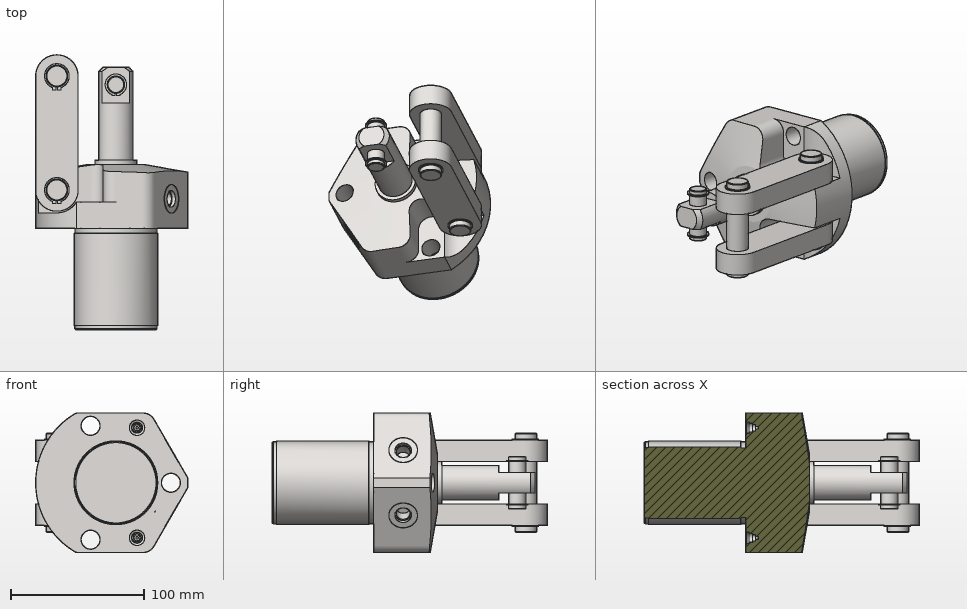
import cadquery as cq
import math

overall_length = 206.4

barrel_diameter = 63.0
barrel_length = 76.2
barrel_chamfer = 0.5
neck_diameter = 61.7
neck_length = 3.5
end_step_diameter = 62.0
end_step_length = 3.3
end_chamfer = 0.8

body_radius = 60.3
body_half_height = 52.5
body_height = 47.9
nose_x = 54.0
nose_half_width = 3.5
nose_slope = math.radians(60)
corner_radius = 10.0
crown_angle = math.radians(10)
crown_flat_radius = 21.7

lug_half_width = 15.9
cutout_floor = 19.6
cutout_radius = 9.5
pocket_clearance = 1.2

mount_hole_diameter = 14.0
nose_hole_x = 41.3
side_hole_x = -19.0
side_hole_z = 42.7
valve_x = 15.9
valve_z = 41.3
valve_mouth_diameter = 11.5
valve_bore_diameter = 8.3
valve_cone_depth = 0.8
valve_bore_depth = 2.5
valve_seat_diameter = 6.5
valve_seat_depth = 5.2
valve_socket_diameter = 4.5
valve_socket_depth = 7.2
valve_tip_diameter = 1.9
valve_tip_depth = 9.3
port_x = 41.9
port_y = 22.0
port_spot_diameter = 21.5
port_spot_depth = 0.5
port_bore_diameter = 12.4
port_bore_depth = 3.3
port_thread_diameter = 10.3
port_thread_depth = 12.4

rod_diameter = 26.0
rod_end_y = 121.0
rod_chamfer = 3.3
rod_flat_start_y = 94.0
rod_flat_half_thickness = 7.8
collar_diameter = 31.5
collar_height = 3.3

link_width = 32.0
link_thickness = 16.0
link_pin_spacing = 85.5
link_pin_diameter = 16.3
link_pin_half_length = 37.1
pin_chamfer = 0.6
rod_pin_y = 107.7
rod_pin_diameter = 13.0
rod_pin_half_length = 19.8

ring_thickness = 0.8
link_ring_diameter = 18.5
link_ear_reach = 10.3
rod_ring_diameter = 16.0
rod_ear_reach = 8.3
rod_ring_z = 15.9
ear_width = 6.2
ear_gap = 1.2

link_outer_z = lug_half_width + link_thickness
link_x = link_width / 2 - body_radius
upper_pin_y = overall_length - barrel_length - link_width / 2
lower_pin_y = upper_pin_y - link_pin_spacing


def rod_along_y(diameter, start, end, x=0.0, z=0.0):
    """Round bar parallel to Y between two Y positions."""
    base = cq.Workplane("XZ", origin=(x, start, z))
    return base.circle(diameter / 2).extrude(start - end)


def mirrored_in_z(shape):
    """The shape together with its mirror image below the XY plane."""
    return shape.union(shape.mirror("XY"))


def barrel():
    step_start = end_step_length - barrel_length
    neck = rod_along_y(neck_diameter, -neck_length, 0)
    main = rod_along_y(barrel_diameter, step_start, -neck_length)
    main = main.faces(">Y").chamfer(barrel_chamfer)
    step = rod_along_y(end_step_diameter, -barrel_length, step_start)
    step = step.faces("<Y").chamfer(end_chamfer)
    return neck.union(main).union(step)


def flange_blank():
    """Flange prism: round on the -X side, pointed nose on the +X side."""
    arc_end_x = -math.sqrt(body_radius**2 - body_half_height**2)
    corner_x = nose_x - (body_half_height - nose_half_width) / math.tan(nose_slope)
    outline = (
        cq.Workplane("XZ")
        .moveTo(arc_end_x, -body_half_height)
        .threePointArc((-body_radius, 0), (arc_end_x, body_half_height))
        .lineTo(corner_x, body_half_height)
        .lineTo(nose_x, nose_half_width)
        .lineTo(nose_x, -nose_half_width)
        .lineTo(corner_x, -body_half_height)
        .close()
    )
    blank = outline.extrude(-body_height)
    for corner_z in (-body_half_height, body_half_height):
        corner = cq.selectors.NearestToPointSelector((corner_x, body_height / 2, corner_z))
        blank = blank.edges("|Y").edges(corner).fillet(corner_radius)
    return blank


def crown_envelope():
    """Turned shape whose conical top slopes the front face of the flange."""
    outer_radius = math.hypot(body_radius, body_half_height)
    drop = (outer_radius - crown_flat_radius) * math.tan(crown_angle)
    return (
        cq.Workplane("XY")
        .lineTo(outer_radius, 0)
        .lineTo(outer_radius, body_height - drop)
        .lineTo(crown_flat_radius, body_height)
        .lineTo(0, body_height)
        .close()
        .revolve(360, (0, 0), (0, 1))
    )


def lug_cutout():
    """Space above the lug; its wall is an S-curve of two equal arcs."""
    wall_x = -cutout_radius
    lug_end_x = -2 * cutout_radius
    outside = 2 * body_radius
    diagonal = cutout_radius * math.sqrt(0.5)
    lower_center = (lug_end_x, lug_half_width + cutout_radius)
    upper_center = (0, body_half_height - cutout_radius)
    return (
        cq.Workplane("XZ", origin=(0, cutout_floor, 0))
        .moveTo(-outside, lug_half_width)
        .lineTo(lug_end_x, lug_half_width)
        .threePointArc(
            (lower_center[0] + diagonal, lower_center[1] - diagonal),
            (wall_x, lower_center[1]),
        )
        .lineTo(wall_x, upper_center[1])
        .threePointArc(
            (upper_center[0] - diagonal, upper_center[1] + diagonal),
            (0, body_half_height),
        )
        .lineTo(0, outside)
        .lineTo(-outside, outside)
        .close()
        .extrude(-body_height)
    )


def link_pocket():
    """Clearance around the lower link end, sunk below the cutout floor."""
    radius = link_width / 2 + pocket_clearance
    depth = body_half_height
    plane = cq.Workplane("XY", origin=(link_x, lower_pin_y, lug_half_width))
    swing = plane.circle(radius).extrude(depth)
    outer = plane.center(-radius, 0).rect(2 * radius, 2 * radius).extrude(depth)
    return swing.union(outer)


def valve_recess():
    """Countersunk stepped bore for a needle valve in the rear face."""
    recess = (
        cq.Workplane("XZ", origin=(valve_x, 0, valve_z))
        .circle(valve_mouth_diameter / 2)
        .workplane(offset=-valve_cone_depth)
        .circle(valve_bore_diameter / 2)
        .loft()
    )
    bore_steps = (
        (valve_bore_diameter, valve_bore_depth),
        (valve_seat_diameter, valve_seat_depth),
        (valve_socket_diameter, valve_socket_depth),
        (valve_tip_diameter, valve_tip_depth),
    )
    for diameter, depth in bore_steps:
        recess = recess.union(rod_along_y(diameter, 0, depth, valve_x, valve_z))
    return recess


def oil_port():
    """Spot-faced, stepped port square to the slanted side of the nose."""
    port_z = nose_half_width + (nose_x - port_x) * math.tan(nose_slope)
    inward = (-math.sin(nose_slope), 0, -math.cos(nose_slope))
    face = cq.Plane(origin=(port_x, port_y, port_z), xDir=(0, 1, 0), normal=inward)
    port_steps = (
        (port_bore_diameter, port_bore_depth),
        (port_thread_diameter, port_thread_depth),
    )
    port = cq.Workplane(face).circle(port_spot_diameter / 2).extrude(port_spot_depth)
    for diameter, depth in port_steps:
        port = port.union(cq.Workplane(face).circle(diameter / 2).extrude(depth))
    return port


def flange_body():
    body = flange_blank().intersect(crown_envelope())
    for recess in (lug_cutout(), link_pocket(), valve_recess(), oil_port()):
        body = body.cut(mirrored_in_z(recess))
    mount_holes = (
        (nose_hole_x, 0),
        (side_hole_x, side_hole_z),
        (side_hole_x, -side_hole_z),
    )
    for x, z in mount_holes:
        body = body.cut(rod_along_y(mount_hole_diameter, 0, body_height, x, z))
    return body


def piston_rod():
    collar = rod_along_y(collar_diameter, 0, body_height + collar_height)
    rod = rod_along_y(rod_diameter, 0, rod_end_y).faces(">Y").chamfer(rod_chamfer)
    flat_length = rod_end_y - rod_flat_start_y
    flat_middle_y = (rod_end_y + rod_flat_start_y) / 2
    flat_cut = (
        cq.Workplane("XY", origin=(0, flat_middle_y, rod_flat_half_thickness))
        .rect(rod_diameter, flat_length)
        .extrude(rod_diameter)
    )
    return rod.cut(mirrored_in_z(flat_cut)).union(collar)


def link():
    middle_y = (upper_pin_y + lower_pin_y) / 2
    return (
        cq.Workplane("XY", origin=(link_x, middle_y, lug_half_width))
        .slot2D(link_pin_spacing + link_width, link_width, 90)
        .extrude(link_thickness)
    )


def pin(x, y, diameter, half_length):
    bar = cq.Workplane("XY", origin=(x, y, 0)).circle(diameter / 2)
    bar = bar.extrude(half_length, both=True)
    return bar.faces("<Z or >Z").chamfer(pin_chamfer)


def snap_ring(x, y, z, diameter, ear_reach):
    """Flat ring split by a gap between two ears on its -Y side."""
    plane = cq.Workplane("XY", origin=(x, y, z))
    ring = plane.circle(diameter / 2).extrude(ring_thickness)
    ears = plane.center(0, -ear_reach / 2).rect(ear_width, ear_reach).extrude(ring_thickness)
    gap = plane.center(0, -ear_reach / 2).rect(ear_gap, ear_reach).extrude(ring_thickness)
    return ring.union(ears).cut(gap)


def pin_with_rings(x, y, diameter, half_length, ring_z, ring_diameter, ear_reach):
    rings = mirrored_in_z(snap_ring(x, y, ring_z, ring_diameter, ear_reach))
    return rings.union(pin(x, y, diameter, half_length))


result = flange_body().union(barrel()).union(piston_rod()).union(mirrored_in_z(link()))
for link_pin_y in (lower_pin_y, upper_pin_y):
    result = result.union(
        pin_with_rings(
            link_x, link_pin_y, link_pin_diameter, link_pin_half_length,
            link_outer_z, link_ring_diameter, link_ear_reach,
        )
    )
result = result.union(
    pin_with_rings(
        0, rod_pin_y, rod_pin_diameter, rod_pin_half_length,
        rod_ring_z, rod_ring_diameter, rod_ear_reach,
    )
)